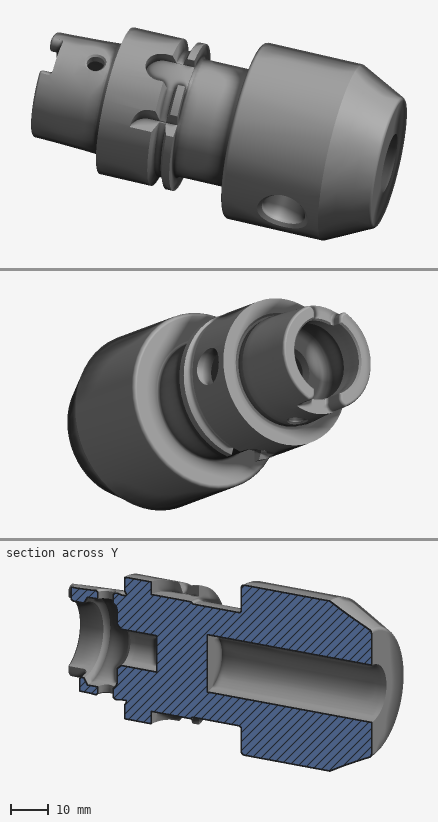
import cadquery as cq
import math


TAPER_LENGTH = 19.7
FLANGE_LENGTH = 20.2
BODY_START = 35.45
CONE_START = 62.4
NOSE_END = 75.2

TAPER_END_RADIUS = 14.27
TAPER_BASE_RADIUS = 15.05
FLANGE_RADIUS = 20.0
SHAFT_RADIUS = 16.0
BODY_RADIUS = 24.0
NOSE_CONE_ANGLE = 26.35

RELIEF_START = -1.9
RELIEF_FLOOR = -0.95
RELIEF_RADIUS = 14.8
RELIEF_MOUTH_RADIUS = 16.0
RELIEF_INNER_RADIUS = 15.4
RELIEF_DEPTH = 0.4

GROOVE_START = 14.15
GROOVE_END = 18.2
GROOVE_FLOOR_START = 15.3
GROOVE_FLOOR_END = 17.1
GROOVE_STEP_X = 17.35
GROOVE_STEP_RADIUS = 18.2
GROOVE_RADIUS = 17.2

SHAFT_FILLET = 0.7
BODY_FILLET = 1.0
NOSE_FILLET = 1.0
TAPER_END_FILLET = 0.7

HOLLOW_RADIUS = 10.45
HOLLOW_CHAMFER = 0.5
HOLLOW_DEPTH = 17.4
CLAMP_SHOULDER_DEPTH = 7.4
CLAMP_SHOULDER_ANGLE = 60.0
CLAMP_RECESS_RADIUS = 12.3
CLAMP_RECESS_FILLET = 2.45
TUBE_HOLE_RADIUS = 5.05
TUBE_HOLE_CHAMFER = 1.25
TUBE_HOLE_DEPTH = 12.0

DRIVE_SLOT_WIDTH = 8.1
DRIVE_SLOT_FLARE_START = 11.0
DRIVE_SLOT_FLARE_RADIUS = 2.0
DRIVE_SLOT_FLOOR_FILLET = 0.8
DRIVE_SLOT_MOUTH_FILLET = 0.8
TOP_DRIVE_SLOT_DEPTH = 3.45
BOTTOM_DRIVE_SLOT_DEPTH = 6.0

CROSS_HOLE_X = -5.8
CROSS_HOLE_RADIUS = 2.35
CROSS_HOLE_CHAMFER = 0.5

FLANGE_SLOT_WIDTH = 8.9
FLANGE_SLOT_LENGTH = 12.05
FLANGE_SLOT_FLOOR = 16.5
NOTCH_WALL_Y = -12.0
NOTCH_FLOOR_Z = 12.0

CHIP_POCKET_X = 7.1
CHIP_POCKET_RADIUS = 5.0
CHIP_POCKET_DEPTH = 4.6

TOOL_BORE_RADIUS = 8.0
TOOL_BORE_DEPTH = 50.0
SCREW_HOLE_X = 52.6
SCREW_HOLE_RADIUS = 6.0
SCREW_HOLE_CHAMFER = 1.0

TAPER_END = -TAPER_LENGTH

EDGE_MARGIN = 0.01


def turned(points):
    """Solid of revolution about X from an (x, radius) outline."""
    return cq.Workplane("XY").polyline(points).close().revolve(360, (0, 0, 0), (1, 0, 0))


def round_circle(solid, x, radius, fillet):
    """Fillet the circular edge of the given radius at the given X."""
    outer = cq.selectors.BoxSelector(
        (x - EDGE_MARGIN, -radius - EDGE_MARGIN, -radius - EDGE_MARGIN),
        (x + EDGE_MARGIN, radius + EDGE_MARGIN, radius + EDGE_MARGIN),
        boundingbox=True,
    )
    inner_radius = radius - EDGE_MARGIN
    inner = cq.selectors.BoxSelector(
        (x - EDGE_MARGIN, -inner_radius, -inner_radius),
        (x + EDGE_MARGIN, inner_radius, inner_radius),
        boundingbox=True,
    )
    return solid.edges(outer - inner).fillet(fillet)


def outside():
    """Turned blank: taper, relief, grooved flange, shaft, body and coned nose."""
    cone_length = NOSE_END - CONE_START
    nose_radius = BODY_RADIUS - cone_length * math.tan(math.radians(NOSE_CONE_ANGLE))
    blank = turned([
        (TAPER_END, 0),
        (TAPER_END, TAPER_END_RADIUS),
        (RELIEF_START, TAPER_BASE_RADIUS),
        (RELIEF_FLOOR, RELIEF_RADIUS),
        (RELIEF_DEPTH, RELIEF_RADIUS),
        (RELIEF_DEPTH, RELIEF_INNER_RADIUS),
        (0, RELIEF_MOUTH_RADIUS),
        (0, FLANGE_RADIUS),
        (GROOVE_START, FLANGE_RADIUS),
        (GROOVE_FLOOR_START, GROOVE_RADIUS),
        (GROOVE_FLOOR_END, GROOVE_RADIUS),
        (GROOVE_STEP_X, GROOVE_STEP_RADIUS),
        (GROOVE_END, FLANGE_RADIUS),
        (FLANGE_LENGTH, FLANGE_RADIUS),
        (FLANGE_LENGTH, SHAFT_RADIUS),
        (BODY_START, SHAFT_RADIUS),
        (BODY_START, BODY_RADIUS),
        (CONE_START, BODY_RADIUS),
        (NOSE_END, nose_radius),
        (NOSE_END, 0),
    ])
    blank = round_circle(blank, TAPER_END, TAPER_END_RADIUS, TAPER_END_FILLET)
    blank = round_circle(blank, FLANGE_LENGTH, SHAFT_RADIUS, SHAFT_FILLET)
    blank = round_circle(blank, BODY_START, SHAFT_RADIUS, SHAFT_FILLET)
    blank = round_circle(blank, BODY_START, BODY_RADIUS, BODY_FILLET)
    return round_circle(blank, NOSE_END, nose_radius, NOSE_FILLET)


def taper_hollow():
    """Hollow of the taper with its clamping recess and the hole for the coolant tube."""
    shoulder = TAPER_END + CLAMP_SHOULDER_DEPTH
    recess_rise = CLAMP_RECESS_RADIUS - HOLLOW_RADIUS
    recess_start = shoulder + recess_rise / math.tan(math.radians(CLAMP_SHOULDER_ANGLE))
    floor = TAPER_END + HOLLOW_DEPTH
    hollow = turned([
        (TAPER_END, 0),
        (TAPER_END, HOLLOW_RADIUS + HOLLOW_CHAMFER),
        (TAPER_END + HOLLOW_CHAMFER, HOLLOW_RADIUS),
        (shoulder, HOLLOW_RADIUS),
        (recess_start, CLAMP_RECESS_RADIUS),
        (floor, CLAMP_RECESS_RADIUS),
        (floor, TUBE_HOLE_RADIUS + TUBE_HOLE_CHAMFER),
        (floor + TUBE_HOLE_CHAMFER, TUBE_HOLE_RADIUS),
        (floor + TUBE_HOLE_DEPTH, TUBE_HOLE_RADIUS),
        (floor + TUBE_HOLE_DEPTH, 0),
    ])
    return round_circle(hollow, floor, CLAMP_RECESS_RADIUS, CLAMP_RECESS_FILLET)


def drive_slot(depth):
    """Upper drive slot: straight walls that flare out in an arc near the taper surface."""
    half = DRIVE_SLOT_WIDTH / 2
    flare = DRIVE_SLOT_FLARE_RADIUS
    start = DRIVE_SLOT_FLARE_START
    diagonal = flare * math.sqrt(0.5)
    top = BODY_RADIUS
    slot = (
        cq.Workplane("YZ", origin=(TAPER_END, 0, 0))
        .moveTo(-half, 0)
        .lineTo(-half, start)
        .threePointArc((-half - flare + diagonal, start + diagonal), (-half - flare, start + flare))
        .lineTo(-half - flare, top)
        .lineTo(half + flare, top)
        .lineTo(half + flare, start + flare)
        .threePointArc((half + flare - diagonal, start + diagonal), (half, start))
        .lineTo(half, 0)
        .close()
        .extrude(depth)
        .faces(">X")
        .edges("not(<Z or >Z)")
        .fillet(DRIVE_SLOT_FLOOR_FILLET)
    )
    slab = cq.Workplane("XY").box(flare, 2 * top, top, centered=(False, True, False))
    slab = slab.translate((TAPER_END - flare, 0, 0))
    cutter = slot.union(slab)
    mouth = cq.selectors.BoxSelector(
        (TAPER_END - EDGE_MARGIN, -half - flare - EDGE_MARGIN, -EDGE_MARGIN),
        (TAPER_END + EDGE_MARGIN, half + flare + EDGE_MARGIN, top + EDGE_MARGIN),
        boundingbox=True,
    )
    return cutter.edges(mouth).fillet(DRIVE_SLOT_MOUTH_FILLET)


def drive_slot_floor_chamfer(depth):
    """Chamfer where the floor of the upper drive slot meets the hollow."""
    floor = TAPER_END + depth
    cone = turned([
        (floor, 0),
        (floor, HOLLOW_RADIUS + HOLLOW_CHAMFER),
        (floor + HOLLOW_CHAMFER, HOLLOW_RADIUS),
        (floor + HOLLOW_CHAMFER, 0),
    ])
    width = DRIVE_SLOT_WIDTH - 2 * DRIVE_SLOT_FLOOR_FILLET
    span = cq.Workplane("XY").box(HOLLOW_CHAMFER, width, BODY_RADIUS, centered=(False, True, False))
    return cone.intersect(span.translate((floor, 0, 0)))


def drill_cross_hole(solid):
    """Hole along Z through the hollow, chamfered where it leaves the taper on both sides."""
    drill = (
        cq.Workplane("XY", origin=(CROSS_HOLE_X, 0, -FLANGE_RADIUS))
        .circle(CROSS_HOLE_RADIUS)
        .extrude(2 * FLANGE_RADIUS)
    )
    solid = solid.cut(drill)
    reach = CROSS_HOLE_RADIUS + EDGE_MARGIN
    rim_height = (CLAMP_RECESS_RADIUS + TAPER_BASE_RADIUS) / 2
    for low, high in ((rim_height, FLANGE_RADIUS), (-FLANGE_RADIUS, -rim_height)):
        rim = cq.selectors.BoxSelector(
            (CROSS_HOLE_X - reach, -reach, low), (CROSS_HOLE_X + reach, reach, high), boundingbox=True
        )
        solid = solid.edges(rim).chamfer(CROSS_HOLE_CHAMFER)
    return solid


def flange_slot(center_y, floor_z):
    """Slot cut along -Z with a round end, open at the shaft side of the flange."""
    radius = FLANGE_SLOT_WIDTH / 2
    start = FLANGE_LENGTH - FLANGE_SLOT_LENGTH + radius
    height = BODY_RADIUS - floor_z
    plane = cq.Workplane("XY", origin=(0, center_y, floor_z))
    end = plane.center(start, 0).circle(radius).extrude(height)
    run = cq.Workplane("XY").box(
        FLANGE_LENGTH - start, FLANGE_SLOT_WIDTH, height, centered=(False, True, False)
    )
    return end.union(run.translate((start, center_y, floor_z)))


def chip_pocket():
    """Round blind pocket in the +Y side of the flange."""
    return (
        cq.Workplane("XZ", origin=(CHIP_POCKET_X, FLANGE_RADIUS - CHIP_POCKET_DEPTH, 0))
        .circle(CHIP_POCKET_RADIUS)
        .extrude(-BODY_RADIUS)
    )


def tool_bore():
    """Blind bore for the tool shank, from the nose."""
    return cq.Workplane("YZ", origin=(NOSE_END, 0, 0)).circle(TOOL_BORE_RADIUS).extrude(-TOOL_BORE_DEPTH)


def drill_screw_hole(solid):
    """Hole from the -Y side into the tool bore, chamfered at the body surface."""
    drill = (
        cq.Workplane("XZ", origin=(SCREW_HOLE_X, 0, 0)).circle(SCREW_HOLE_RADIUS).extrude(BODY_RADIUS)
    )
    solid = solid.cut(drill)
    reach = SCREW_HOLE_RADIUS + EDGE_MARGIN
    rim = cq.selectors.BoxSelector(
        (SCREW_HOLE_X - reach, -BODY_RADIUS - EDGE_MARGIN, -reach),
        (SCREW_HOLE_X + reach, -SHAFT_RADIUS, reach),
        boundingbox=True,
    )
    return solid.edges(rim).chamfer(SCREW_HOLE_CHAMFER)


def upside_down(cutter):
    """The cutter turned half round the X axis, from the +Z side to the -Z side."""
    return cutter.rotate((0, 0, 0), (1, 0, 0), 180)


result = outside().cut(taper_hollow())
result = result.cut(drive_slot(TOP_DRIVE_SLOT_DEPTH))
result = result.cut(drive_slot_floor_chamfer(TOP_DRIVE_SLOT_DEPTH))
result = result.cut(upside_down(drive_slot(BOTTOM_DRIVE_SLOT_DEPTH)))
result = result.cut(upside_down(drive_slot_floor_chamfer(BOTTOM_DRIVE_SLOT_DEPTH)))
result = drill_cross_hole(result)

top_slot = flange_slot(0, FLANGE_SLOT_FLOOR)
result = result.cut(top_slot).cut(upside_down(top_slot))
result = result.cut(flange_slot(NOTCH_WALL_Y - FLANGE_SLOT_WIDTH / 2, NOTCH_FLOOR_Z))
result = result.cut(chip_pocket())

result = result.cut(tool_bore())
result = drill_screw_hole(result)